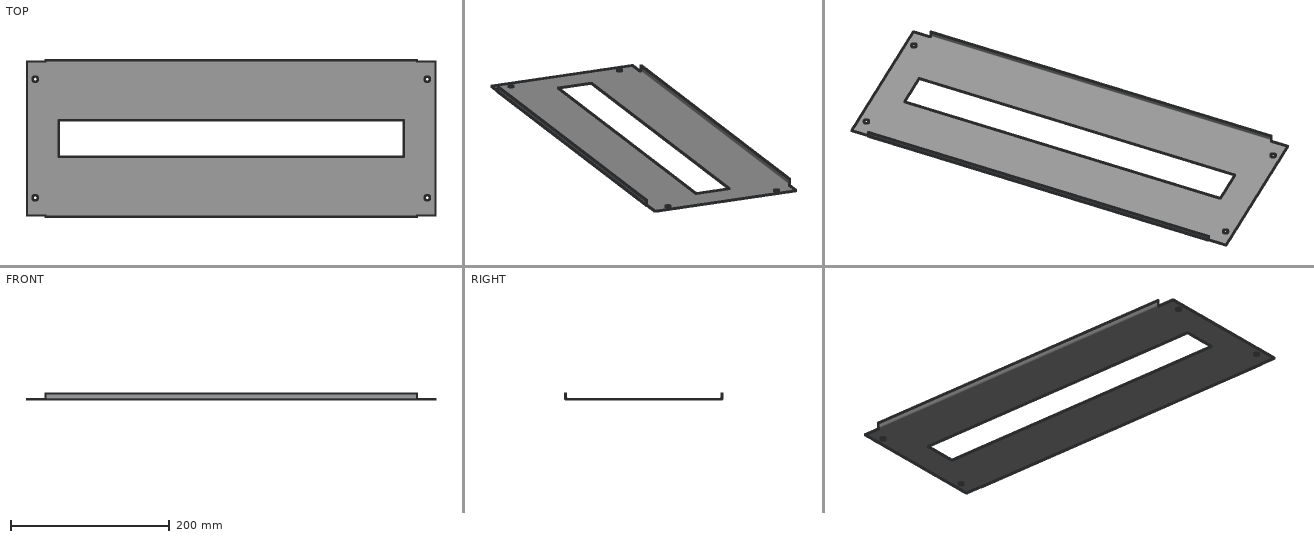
import cadquery as cq

sheet = 1.0
length = 517.0
width = 199.0
height = 8.0
inner_bend_radius = 1.0
end_relief = 23.5
window_length = 436.0
window_width = 46.0
hole_diameter = 6.5
hole_end_inset = 10.5
hole_pitch_y = 150.0

outer_bend_radius = inner_bend_radius + sheet
flange_length = length - 2 * end_relief
plate_width = width - 2 * outer_bend_radius
hole_pitch_x = length - 2 * hole_end_inset


def make_plate():
    """Flat plate with its underside on Z = 0."""
    return cq.Workplane("XY").box(length, plate_width, sheet, centered=(True, True, False))


def make_flange():
    """Bend and upright flange along the +Y edge, swept along X."""
    bend_start = plate_width / 2
    outer_face = width / 2
    inner_face = outer_face - sheet
    profile = (
        cq.Workplane("YZ", origin=(-flange_length / 2, 0, 0))
        .moveTo(bend_start, 0)
        .radiusArc((outer_face, outer_bend_radius), -outer_bend_radius)
        .lineTo(outer_face, height)
        .lineTo(inner_face, height)
        .lineTo(inner_face, outer_bend_radius)
        .radiusArc((bend_start, sheet), inner_bend_radius)
        .close()
    )
    return profile.extrude(flange_length)


def cut_window(body):
    """Central rectangular opening through the plate."""
    window = cq.Workplane("XY").rect(window_length, window_width).extrude(sheet)
    return body.cut(window)


def cut_mounting_holes(body):
    """One through hole near each corner of the plate."""
    holes = (
        cq.Workplane("XY")
        .rect(hole_pitch_x, hole_pitch_y, forConstruction=True)
        .vertices()
        .circle(hole_diameter / 2)
        .extrude(sheet)
    )
    return body.cut(holes)


flange = make_flange()
cover = make_plate().union(flange).union(flange.mirror("XZ"))
cover = cut_window(cover)
result = cut_mounting_holes(cover)